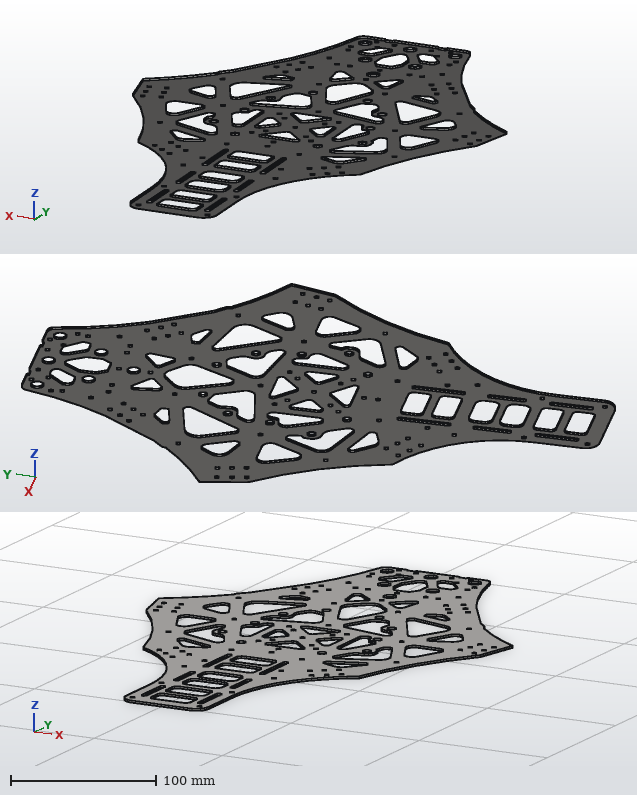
import cadquery as cq
import math


THICKNESS = 1.6
LENGTH = 405.0
WIDTH = 275.94
NOSE_Y = 197.6
TAIL_Y = NOSE_Y - LENGTH

FRONT_FLANK_MIDDLE = (51.3, 163.0)
FRONT_FLANK_END = (64.6, 132.6)
WING_ROOT_STEPS = [(90.0, 92.0), (97.0, 84.6), (97.5, 81.8)]
WING_FRONT_MIDDLE = (115.9, 64.3)
WING_TIP = (WIDTH / 2, 48.4)
WING_TIP_REAR = (130.4, 15.6)
REAR_FLANK_MIDDLE = (102.9, -26.2)
REAR_WING_CORNER = (84.2, -75.3)

TAIL_HALF_WIDTH = 32.3
TAIL_CORNER_RADIUS = 10.0
TAIL_FLARE_RADIUS = 101.5
TAIL_FLARE_Y = -163.4
FLARE_MIDDLE_ANGLE = 148.0

NOSE_HALF_WIDTH = 42.0
NOSE_CORNER_RADIUS = 5.5
NOTCH_X = 20.1
NOTCH_MOUTH = 7.2
NOTCH_FLOOR = 5.2
NOTCH_DEPTH = 1.5

SMALL_HOLE = 3.0
MEDIUM_HOLE = 6.0
LARGE_HOLE = 9.0
MOUNT_PITCH = 45.0
INNER_MOUNT_PITCH = 30.5

LADDER_WIDTH = 30.5
LADDER_PITCH = 22.0
SLOT_X = 22.0
SLOT_WIDTH = 3.6
LADDER_BAYS = [
    (-83.0, 16.0, 3.7, 37.7),
    (-131.2, 17.0, 5.5, 27.0),
    (-176.9, 16.0, 3.7, 30.5),
]

SMALL_AXIS_HOLES = [137.9, 115.6, 37.8, 0.0, -35.4, -45.3]

SMALL_SIDE_HOLES = [
    (28.1, 193.2), (14.0, 191.7), (22.7, 182.5), (39.9, 176.5), (38.4, 168.9),
    (42.9, 147.6), (22.6, 137.6), (32.3, 137.6), (25.0, 92.6),
    (55.5, 131.1), (45.7, 123.8), (61.6, 122.7), (51.6, 115.5), (67.7, 114.9), (57.4, 107.4),
    (116.5, 40.8), (128.7, 38.4), (114.1, 31.1), (126.5, 28.0), (111.6, 21.3), (124.2, 18.2),
    (89.9, 74.8), (65.3, MOUNT_PITCH / 2), (89.0, -29.3),
    (63.6, -66.1), (55.3, -72.0), (71.1, -76.3), (47.0, -77.5), (62.8, -82.4), (54.3, -88.5),
    (27.5, -52.5), (29.9, -87.2), (35.0, -107.4), (27.5, -154.9), (26.2, -199.5),
]
MEDIUM_SIDE_HOLES = [(20.7, 73.6), (42.3, 51.0), (47.8, 19.9), (56.4, -11.6), (31.4, -30.7)]
LARGE_AXIS_HOLES = [187.6, 127.5]
LARGE_SIDE_HOLES = [(34.2, 187.6), (18.9, 154.9)]

SIDE_WINDOWS = [
    [(6.5, 183.2, 4.0), (20.3, 182.2, 1.5), (30.2, 170.3, 1.5), (29.0, 164.0, 3.5), (18.3, 164.0, 3.5)],
    [(6.6, 112.4, 2.5), (26.7, 129.1, 3.4), (22.0, 99.5, 3.5)],
    [(45.7, 97.3, 1.9), (56.8, 100.3, 4.7), (73.4, 84.5, 2.9), (45.7, 92.0, 0.9)],
    [(35.8, 84.4, 3.7), (83.3, 71.4, 9.9), (64.4, 33.4, 4.1)],
    [(90.1, 63.1, 4.8), (104.5, 41.1, 7.7), (74.1, 30.1, 3.9)],
    [(18.9, 66.0, 2.6), (30.3, 69.1, 5.2), (36.7, 58.3, 8.8), (33.8, 44.3, 6.0),
     (45.8, 44.6, 7.4), (54.3, 29.4, 3.9), (6.1, 40.2, 6.3)],
    [(33.5, 23.9, 4.2), (41.6, 24.3, 4.2), (43.3, 14.0, 2.8), (55.5, 15.1, 5.7),
     (40.5, -15.6, 4.3), (33.6, -15.2, 4.3)],
    [(62.1, 4.2, 2.8), (67.7, 4.4, 2.7), (82.1, -26.6, 7.7), (38.4, -43.0, 4.1),
     (50.8, -19.6, 8.0), (63.3, -17.9, 6.6), (62.7, -7.7, 0.7), (60.2, -5.1, 0.3)],
    [(71.2, 17.7, 6.0), (106.1, 17.7, 6.0), (89.0, -19.4, 5.6)],
    [(38.4, -52.2, 3.2), (80.9, -36.9, 3.2), (60.8, -60.8, 7.0)],
    [(9.7, 0.0, 3.7), (26.3, 16.2, 3.2), (26.3, -16.2, 3.2)],
]

AXIS_WINDOWS = [
    [(0.0, 180.1, 4.5), (10.35, 163.5, 4.7), (10.35, 151.6, 2.9), (5.8, 144.5, 1.9)],
    [(0.0, 108.5, 8.4), (18.8, 91.5, 9.1), (0.0, 49.4, 5.1)],
    [(0.0, 9.9, 3.2), (19.0, 28.65, 2.7)],
    [(0.0, -9.9, 3.2), (19.0, -28.65, 2.7)],
]


def unit(start, end):
    length = math.dist(start, end)
    return ((end[0] - start[0]) / length, (end[1] - start[1]) / length)


def offset(point, direction, distance):
    return (point[0] + direction[0] * distance, point[1] + direction[1] * distance)


def corner_arc(before, corner, after):
    """Start, middle and end of the arc that rounds a corner."""
    vertex, radius = corner[:2], corner[2]
    to_before = unit(vertex, before[:2])
    to_after = unit(vertex, after[:2])
    half_angle = math.acos(to_before[0] * to_after[0] + to_before[1] * to_after[1]) / 2
    tangent_length = radius / math.tan(half_angle)
    start = offset(vertex, to_before, tangent_length)
    end = offset(vertex, to_after, tangent_length)
    chord_middle = ((start[0] + end[0]) / 2, (start[1] + end[1]) / 2)
    bisector = unit(vertex, chord_middle)
    middle = offset(vertex, bisector, radius / math.sin(half_angle) - radius)
    return start, middle, end


def rounded_prism(corners):
    """Prism through the plate whose outline is a polygon with rounded corners."""
    count = len(corners)
    arcs = [corner_arc(corners[i - 1], corners[i], corners[(i + 1) % count]) for i in range(count)]
    outline = cq.Workplane("XY").moveTo(*arcs[0][0])
    for index, (start, middle, end) in enumerate(arcs):
        if index > 0:
            outline = outline.lineTo(*start)
        outline = outline.threePointArc(middle, end)
    return outline.close().extrude(THICKNESS)


def mirrored(points):
    return [(-point[0], *point[1:]) for point in points]


def both_sides(points):
    return points + mirrored(points)


def on_axis(positions):
    return [(0.0, y) for y in positions]


def close_across_axis(half):
    off_axis = [corner for corner in half if corner[0] > 0]
    return half + mirrored(off_axis)[::-1]


def half_plate():
    """The +X half of the plate, with a sharp nose corner and a sharp tail corner."""
    notch_floor_y = NOSE_Y - NOTCH_DEPTH
    flare_centre = (TAIL_HALF_WIDTH + TAIL_FLARE_RADIUS, TAIL_FLARE_Y)
    flare_angle = math.radians(FLARE_MIDDLE_ANGLE)
    flare_direction = (math.cos(flare_angle), math.sin(flare_angle))
    flare_middle = offset(flare_centre, flare_direction, TAIL_FLARE_RADIUS)
    return (
        cq.Workplane("XY")
        .moveTo(0, NOSE_Y)
        .lineTo(NOTCH_X - NOTCH_MOUTH / 2, NOSE_Y)
        .lineTo(NOTCH_X - NOTCH_FLOOR / 2, notch_floor_y)
        .lineTo(NOTCH_X + NOTCH_FLOOR / 2, notch_floor_y)
        .lineTo(NOTCH_X + NOTCH_MOUTH / 2, NOSE_Y)
        .lineTo(NOSE_HALF_WIDTH, NOSE_Y)
        .threePointArc(FRONT_FLANK_MIDDLE, FRONT_FLANK_END)
        .polyline(WING_ROOT_STEPS, includeCurrent=True)
        .threePointArc(WING_FRONT_MIDDLE, WING_TIP)
        .lineTo(*WING_TIP_REAR)
        .threePointArc(REAR_FLANK_MIDDLE, REAR_WING_CORNER)
        .threePointArc(flare_middle, (TAIL_HALF_WIDTH, TAIL_FLARE_Y))
        .lineTo(TAIL_HALF_WIDTH, TAIL_Y)
        .lineTo(0, TAIL_Y)
        .close()
        .extrude(THICKNESS)
    )


def corner_edge(x, y):
    """Selector for the vertical edge at an outline corner."""
    return cq.selectors.NearestToPointSelector((x, y, THICKNESS / 2))


def blank_plate():
    half = half_plate()
    half = half.edges("|Z").edges(corner_edge(NOSE_HALF_WIDTH, NOSE_Y)).fillet(NOSE_CORNER_RADIUS)
    half = half.edges("|Z").edges(corner_edge(TAIL_HALF_WIDTH, TAIL_Y)).fillet(TAIL_CORNER_RADIUS)
    return half.union(half.mirror("YZ")).clean()


def square_pattern(pitch):
    return both_sides([(pitch / 2, pitch / 2), (pitch / 2, -pitch / 2)])


def pins(diameter, points):
    return cq.Workplane("XY").pushPoints(points).circle(diameter / 2).extrude(THICKNESS)


def round_hole_cutters():
    small = on_axis(SMALL_AXIS_HOLES) + both_sides(SMALL_SIDE_HOLES)
    small += square_pattern(MOUNT_PITCH) + square_pattern(INNER_MOUNT_PITCH)
    large = on_axis(LARGE_AXIS_HOLES) + both_sides(LARGE_SIDE_HOLES)
    return [
        pins(SMALL_HOLE, small),
        pins(MEDIUM_HOLE, both_sides(MEDIUM_SIDE_HOLES)),
        pins(LARGE_HOLE, large),
    ]


def window_cutters():
    cutters = [rounded_prism(close_across_axis(half)) for half in AXIS_WINDOWS]
    for corners in SIDE_WINDOWS:
        window = rounded_prism(corners)
        cutters += [window, window.mirror("YZ")]
    return cutters


def tail_ladder_cutters():
    cutters = []
    for bay_y, height, radius, slot_length in LADDER_BAYS:
        window_centres = on_axis([bay_y + LADDER_PITCH / 2, bay_y - LADDER_PITCH / 2])
        windows = (
            cq.Workplane("XY")
            .pushPoints(window_centres)
            .rect(LADDER_WIDTH, height)
            .extrude(THICKNESS)
            .edges("|Z")
            .fillet(radius)
        )
        slots = (
            cq.Workplane("XY")
            .pushPoints(both_sides([(SLOT_X, bay_y)]))
            .slot2D(slot_length, SLOT_WIDTH, angle=90)
            .extrude(THICKNESS)
        )
        cutters += [windows, slots]
    return cutters


cutters = round_hole_cutters() + window_cutters() + tail_ladder_cutters()
cutter_solids = [solid for cutter in cutters for solid in cutter.solids().vals()]
openings = cq.Workplane("XY").newObject([cq.Compound.makeCompound(cutter_solids)])
result = blank_plate().cut(openings)